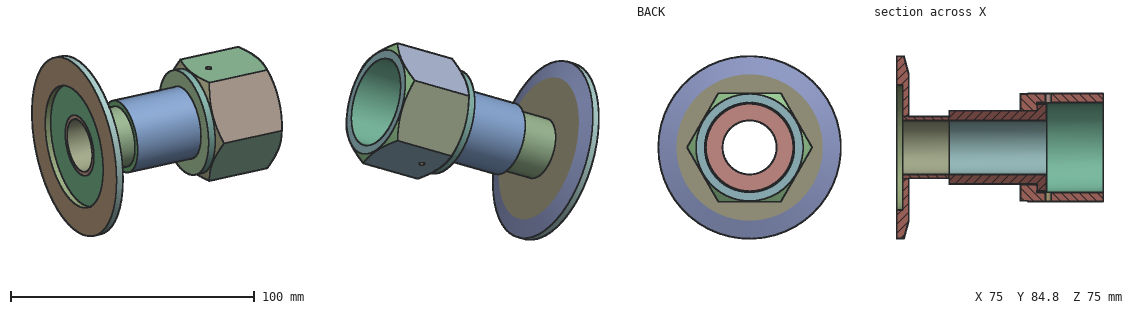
import cadquery as cq
import math


flange_rim_end = 3.0
flange_back = 5.0
recess_depth = 2.5
gland_start = 21.5
nut_start = 50.75
collar_length = 3.05
hex_start = nut_start + collar_length
overall_length = 84.8
gland_end = 61.5
gland_head_length = 4.0
nut_shoulder = gland_end - gland_head_length
test_port_station = 62.25

bore_diameter = 22.1
tube_diameter = 25.4
flange_diameter = 75.0
recess_diameter = 51.2
gland_neck_diameter = 30.23
gland_head_diameter = 35.81
nut_clearance_diameter = 30.48
nut_bore_diameter = 36.83
collar_diameter = 43.94
test_port_diameter = 2.29

hex_across_flats = 44.45
hex_sides = 6
hex_corner_diameter = hex_across_flats / math.cos(math.pi / hex_sides)
chamfer_circle_diameter = collar_diameter

flange_taper_angle = 15.0
hex_chamfer_angle = 30.0


def cylinder(diameter, start, end):
    """Solid cylinder along Y between two stations."""
    plane = cq.Workplane(cq.Plane(origin=(0, start, 0), xDir=(1, 0, 0), normal=(0, 1, 0)))
    return plane.circle(diameter / 2).extrude(end - start)


def revolved(outline):
    """Revolve an outline of (radius, station) points about the Y axis."""
    return cq.Workplane("XY").polyline(outline).close().revolve(360, (0, 0), (0, 1))


def make_flange():
    """Clamp flange with a tapered back, a face recess and a hole for the tube."""
    rim_radius = flange_diameter / 2
    taper_height = flange_back - flange_rim_end
    back_radius = rim_radius - taper_height / math.tan(math.radians(flange_taper_angle))
    disc = revolved([
        (0, 0),
        (rim_radius, 0),
        (rim_radius, flange_rim_end),
        (back_radius, flange_back),
        (0, flange_back),
    ])
    recess = cylinder(recess_diameter, 0, recess_depth)
    tube_hole = cylinder(tube_diameter, 0, flange_back)
    return disc.cut(recess).cut(tube_hole)


def make_tube():
    """Tube from the floor of the flange recess to the end of the gland."""
    outside = cylinder(tube_diameter, recess_depth, gland_start)
    return outside.cut(cylinder(bore_diameter, recess_depth, gland_start))


def make_gland():
    """Gland whose head rests on the shoulder inside the nut."""
    neck = cylinder(gland_neck_diameter, gland_start, gland_end)
    head = cylinder(gland_head_diameter, nut_shoulder, gland_end)
    return neck.union(head).cut(cylinder(bore_diameter, gland_start, gland_end))


def make_chamfer_envelope():
    """Turned shape that cuts the corners at both ends of the hexagon."""
    end_radius = chamfer_circle_diameter / 2
    corner_radius = hex_corner_diameter / 2
    drop = (corner_radius - end_radius) * math.tan(math.radians(hex_chamfer_angle))
    return revolved([
        (0, hex_start),
        (end_radius, hex_start),
        (corner_radius, hex_start + drop),
        (corner_radius, overall_length - drop),
        (end_radius, overall_length),
        (0, overall_length),
    ])


def make_nut():
    """Hex union nut with a round collar, a shouldered bore and cross-drilled test ports."""
    hex_plane = cq.Plane(origin=(0, hex_start, 0), xDir=(1, 0, 0), normal=(0, 1, 0))
    hex_length = overall_length - hex_start
    hexagon = cq.Workplane(hex_plane).polygon(hex_sides, hex_corner_diameter).extrude(hex_length)
    body = hexagon.intersect(make_chamfer_envelope())
    body = body.union(cylinder(collar_diameter, nut_start, hex_start))

    body = body.cut(cylinder(nut_clearance_diameter, nut_start, nut_shoulder))
    body = body.cut(cylinder(nut_bore_diameter, nut_shoulder, overall_length))

    test_ports = (
        cq.Workplane("XY")
        .center(0, test_port_station)
        .circle(test_port_diameter / 2)
        .extrude(hex_across_flats / 2, both=True)
    )
    return body.cut(test_ports)


flange = make_flange()
tube = make_tube()
gland = make_gland()
nut = make_nut()

result = cq.Compound.makeCompound([flange.val(), tube.val(), gland.val(), nut.val()])